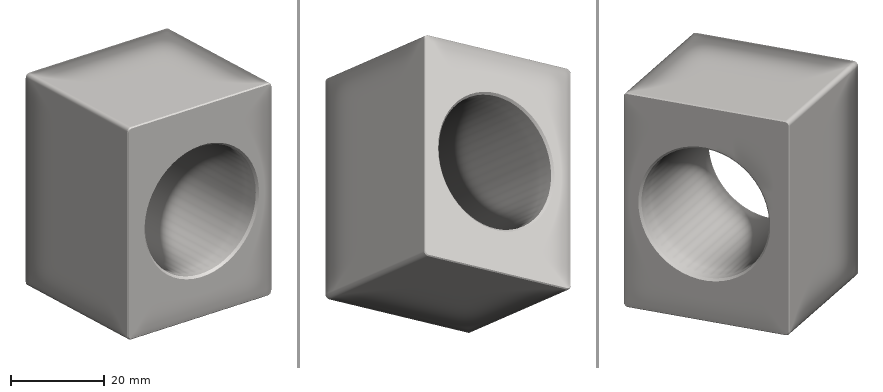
import cadquery as cq

length_x = 36.0
width_y = 39.0
height_z = 50.0
long_edge_radius = 1.0
end_chamfer = 0.25

bore_diameter = 30.0
bore_offset_y = 0.5
bore_chamfer = 0.5


def make_block():
    """Block with rounded edges along X and chamfered end faces."""
    block = cq.Workplane("XY").box(length_x, width_y, height_z)
    block = block.edges("|X").fillet(long_edge_radius)
    return block.faces("<X or >X").chamfer(end_chamfer)


def make_bore():
    """Through bore that flares at both mouths."""
    half_length = length_x / 2
    bore_radius = bore_diameter / 2
    mouth_radius = bore_radius + bore_chamfer
    profile = [
        (-half_length, 0),
        (-half_length, mouth_radius),
        (-half_length + bore_chamfer, bore_radius),
        (half_length - bore_chamfer, bore_radius),
        (half_length, mouth_radius),
        (half_length, 0),
    ]
    bore = cq.Workplane("XY").polyline(profile).close().revolve(360, (0, 0, 0), (1, 0, 0))
    return bore.translate((0, bore_offset_y, 0))


result = make_block().cut(make_bore())